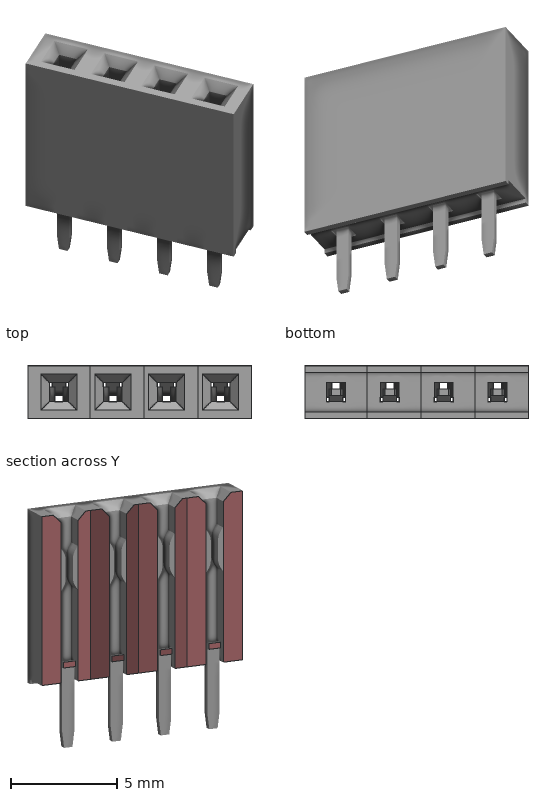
import cadquery as cq
import math


cell_count = 4
pitch = 2.54
row_length = 10.56
cell_width = row_length - (cell_count - 1) * pitch
cell_overhang = cell_width - pitch

depth = 2.5
total_height = 11.5
pin_drop = 3.0
housing_height = total_height - pin_drop
foot_thickness = 0.32
foot_height = 0.22

funnel_width = 1.7
shaft_width = 0.89
funnel_depth = (funnel_width - shaft_width) / 2
shaft_half = shaft_width / 2

ridge_gap = 0.38
ridge_radius = 0.76
ridge_lead_angle = 33.6
ridge_back_y = 0.25
ridge_mid_z = 5.75
ridge_crest_height = 0.92

strip_thickness = 0.3
pin_width = 0.64
tip_width = 0.44
tip_length = 0.79
plate_tilt = 10.0
bend_z = 0.92


def make_shell(left_x, right_x):
    """Plain housing block between two X positions, with a slot along its underside."""
    length = right_x - left_x
    block = cq.Workplane("XY").box(length, depth, housing_height, centered=False)
    slot = cq.Workplane("XY").box(length, depth - 2 * foot_thickness, foot_height, centered=False)
    return block.cut(slot.translate((0, foot_thickness, 0))).translate((left_x, -depth / 2, 0))


def make_socket():
    """Volume of the funnel and of the shaft that passes through the housing."""
    shaft = cq.Workplane("XY").rect(shaft_width, shaft_width).extrude(housing_height)
    funnel = (
        cq.Workplane("XY")
        .workplane(offset=housing_height - funnel_depth)
        .rect(shaft_width, shaft_width)
        .workplane(offset=funnel_depth)
        .rect(funnel_width, funnel_width)
        .loft(ruled=True)
    )
    return shaft.union(funnel)


def make_ridge():
    """Spring ridge on the -X shaft wall: a flat crest rounded into two straight slopes."""
    angle = math.radians(ridge_lead_angle)
    crest_x = -ridge_gap / 2
    crest_half = ridge_crest_height / 2

    def arc_point(turn):
        return (
            crest_x - ridge_radius * (1 - math.cos(turn)),
            crest_half + ridge_radius * math.sin(turn),
        )

    arc_end_x, arc_end_z = arc_point(angle)
    wall_z = arc_end_z + (arc_end_x + shaft_half) / math.tan(angle)
    mid_x, mid_z = arc_point(angle / 2)
    return (
        cq.Workplane("XZ", origin=(0, ridge_back_y, ridge_mid_z))
        .moveTo(-shaft_half, -wall_z)
        .lineTo(arc_end_x, -arc_end_z)
        .threePointArc((mid_x, -mid_z), (crest_x, -crest_half))
        .lineTo(crest_x, crest_half)
        .threePointArc((mid_x, mid_z), (arc_end_x, arc_end_z))
        .lineTo(-shaft_half, wall_z)
        .close()
        .extrude(ridge_back_y + shaft_half)
    )


def make_pin():
    """Vertical strip with a tapered tip, bent at its top into a plate that meets the +Y wall."""
    tilt = math.radians(plate_tilt)
    mid_bend = (tilt + math.pi / 2) / 2
    face_y = strip_thickness / 2
    plate_rise = (shaft_half - face_y) * math.tan(tilt)
    plate_top_z = bend_z + plate_rise + strip_thickness / math.cos(tilt)

    def bend_point(angle):
        return (face_y - strip_thickness * math.sin(angle), bend_z + strip_thickness * math.cos(angle))

    side = (
        cq.Workplane("YZ", origin=(-pin_width / 2, 0, 0))
        .moveTo(face_y, -pin_drop)
        .lineTo(face_y, bend_z)
        .lineTo(shaft_half, bend_z + plate_rise)
        .lineTo(shaft_half, plate_top_z)
        .lineTo(*bend_point(tilt))
        .threePointArc(bend_point(mid_bend), (-face_y, bend_z))
        .lineTo(-face_y, -pin_drop)
        .close()
        .extrude(pin_width)
    )
    front = (
        cq.Workplane("XZ", origin=(0, shaft_half, 0))
        .moveTo(-tip_width / 2, -pin_drop)
        .lineTo(tip_width / 2, -pin_drop)
        .lineTo(pin_width / 2, tip_length - pin_drop)
        .lineTo(pin_width / 2, plate_top_z)
        .lineTo(-pin_width / 2, plate_top_z)
        .lineTo(-pin_width / 2, tip_length - pin_drop)
        .close()
        .extrude(shaft_width)
    )
    return side.intersect(front)


def make_cell(index):
    """One header cell; every cell after the first gives way to the full-width cell on its left."""
    center_x = (index - (cell_count - 1) / 2) * pitch
    left_x = -cell_width / 2 + (cell_overhang if index > 0 else 0)
    ridge = make_ridge()
    cell = (
        make_shell(left_x, cell_width / 2)
        .cut(make_socket())
        .union(ridge)
        .union(ridge.mirror("YZ"))
        .union(make_pin())
    )
    return cell.translate((center_x, 0, 0))


cells = [make_cell(index).solids().val() for index in range(cell_count)]

result = cq.Compound.makeCompound(cells)